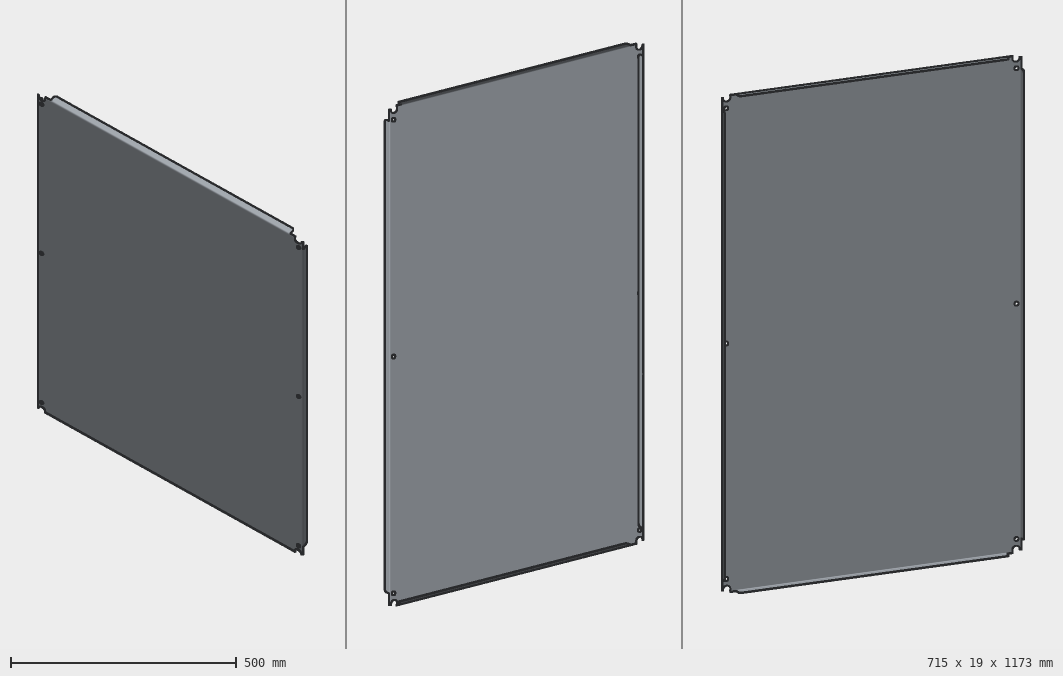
import cadquery as cq

width = 715.0
height = 1173.0
depth = 19.0
sheet = 2.0
bend_radius = 4.0

fold_setback_x = 21.0
fold_setback_z = 6.0
flange_setback_x = 35.0
flange_setback_z = 33.0
fold_length_x = width - 2 * fold_setback_x
fold_length_z = height - 2 * fold_setback_z
flange_length_x = width - 2 * flange_setback_x
flange_length_z = height - 2 * flange_setback_z
flange_corner_radius = 6.0

relief_radius = 8.8
relief_inset_x = 13.0
relief_inset_z = 7.0
relief_x = width / 2 - relief_inset_x
relief_z = height / 2 - relief_inset_z

hole_diameter = 9.0
hole_inset_x = 12.0
hole_inset_z = 32.0
hole_x = width / 2 - hole_inset_x
hole_pitch_z = height / 2 - hole_inset_z

front_y = -depth / 2


def channel(span, length):
    """U section with rounded folds, spanning X and running along Z."""
    outer = (
        cq.Workplane("XY")
        .box(span, depth, length)
        .edges("|Z and <Y")
        .fillet(bend_radius)
    )
    inner = (
        cq.Workplane("XY")
        .box(span - 2 * sheet, depth, length)
        .translate((0, sheet, 0))
        .edges("|Z and <Y")
        .fillet(bend_radius - sheet)
    )
    return outer.cut(inner)


def flange_envelope(span, fold_length, flange_length):
    """Room kept for a channel: full length at the fold, shorter beyond it."""
    fold = cq.Workplane("XY").box(span, bend_radius, fold_length)
    fold = fold.translate((0, front_y + bend_radius / 2, 0))
    flange = (
        cq.Workplane("XY")
        .box(span, depth, flange_length)
        .edges("|X and >Y")
        .fillet(flange_corner_radius)
    )
    return fold.union(flange)


def folded_panel(span, fold_length, flange_length):
    """Face with a shortened flange folded along two opposite edges."""
    envelope = flange_envelope(span, fold_length, flange_length)
    return channel(span, fold_length).intersect(envelope)


def through_face(points, radius):
    """Cylinders along Y that pass through the face and the folds."""
    return (
        cq.Workplane("XZ")
        .pushPoints(points)
        .circle(radius)
        .extrude(depth, both=True)
    )


side_panel = folded_panel(width, fold_length_z, flange_length_z)
end_panel = folded_panel(height, fold_length_x, flange_length_x)
end_panel = end_panel.rotate((0, 0, 0), (0, 1, 0), 90)

relief_points = [(sx * relief_x, sz * relief_z) for sx in (-1, 1) for sz in (-1, 1)]
hole_points = [(sx * hole_x, row * hole_pitch_z) for sx in (-1, 1) for row in (-1, 0, 1)]

result = (
    side_panel.union(end_panel)
    .cut(through_face(relief_points, relief_radius))
    .cut(through_face(hole_points, hole_diameter / 2))
)